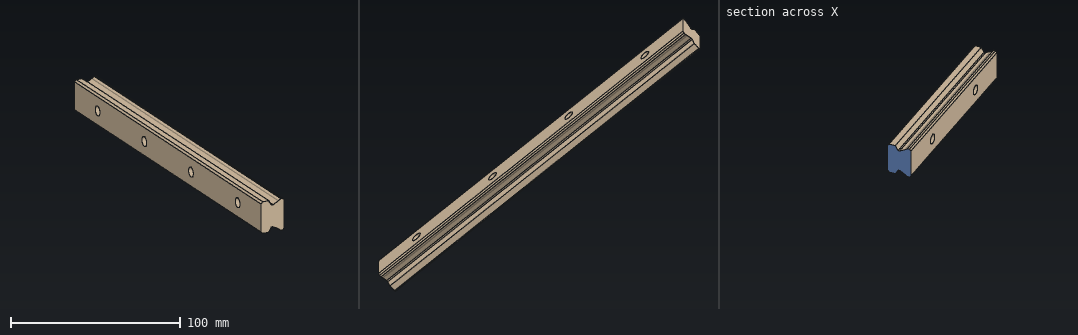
import cadquery as cq

RAIL_LENGTH = 240.0
RAIL_HEIGHT = 15.5
RAIL_WIDTH = 20.0
HALF_WIDTH = RAIL_WIDTH / 2

BASE_CHAMFER = 1.2
HEAD_CHAMFER = 1.0

FOOT_TOP = 5.3
FLOOR_BOTTOM = 7.1
FLOOR_TOP = 8.1
SLOPE_BREAK = 11.6
HEAD_BOTTOM = 13.2
GROOVE_DEPTH = 3.0
SLOPE_BREAK_DEPTH = 1.05

HOLE_COUNT = 4
HOLE_PITCH = 60.0
HOLE_DIAMETER = 6.0


def make_rail_body():
    """Extrude the rail section, symmetric about Z = 0, along X."""
    upper_side = [
        (0, HALF_WIDTH - BASE_CHAMFER),
        (BASE_CHAMFER, HALF_WIDTH),
        (FOOT_TOP, HALF_WIDTH),
        (FLOOR_BOTTOM, HALF_WIDTH - GROOVE_DEPTH),
        (FLOOR_TOP, HALF_WIDTH - GROOVE_DEPTH),
        (SLOPE_BREAK, HALF_WIDTH - SLOPE_BREAK_DEPTH),
        (HEAD_BOTTOM, HALF_WIDTH),
        (RAIL_HEIGHT - HEAD_CHAMFER, HALF_WIDTH),
        (RAIL_HEIGHT, HALF_WIDTH - HEAD_CHAMFER),
    ]
    lower_side = [(y, -z) for y, z in reversed(upper_side)]
    section = cq.Workplane("YZ").polyline(upper_side + lower_side).close()
    return section.extrude(RAIL_LENGTH / 2, both=True)


def make_mounting_holes():
    """Row of through holes, centred along the rail."""
    holes = cq.Workplane("XZ").rarray(HOLE_PITCH, 1, HOLE_COUNT, 1).circle(HOLE_DIAMETER / 2)
    return holes.extrude(-RAIL_HEIGHT)


result = make_rail_body().cut(make_mounting_holes())